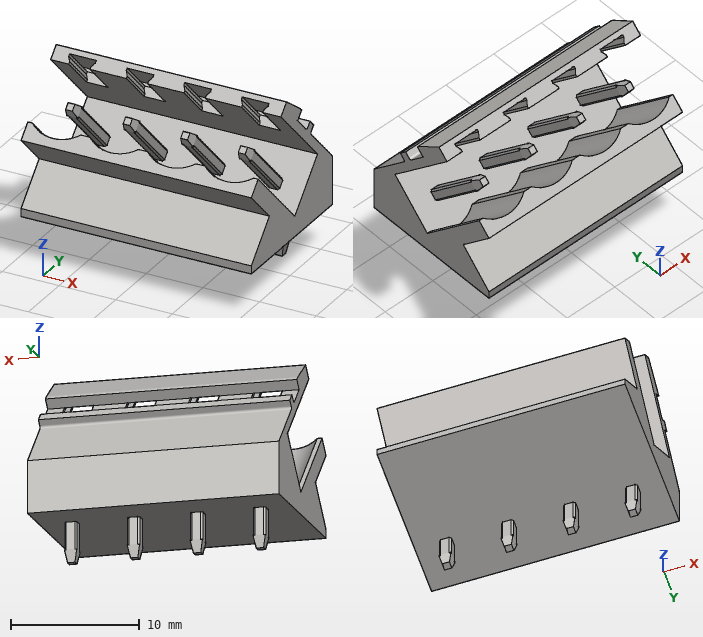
import cadquery as cq
import math


pole_count = 4
pitch = 5.08
row_length = pole_count * pitch
row_start = -pitch / 2

depth = 13.3
back_y = 3.79
front_y = back_y - depth
front_lip_height = 0.72
housing_height = 12.45

pin_width = 1.0
pin_edge_chamfer = 0.15
tip_length = 1.0
tip_end_width = 0.6
solder_length = 3.22
bend_height = 2.55
bend_to_floor = 1.167
contact_length = 7.55

slot_lower_wall = -2.22
slot_upper_wall = 3.06
arm_length = 8.48
front_slope_along = 4.29
upper_arm_thickness = 0.82
upper_arm_outer = slot_upper_wall + upper_arm_thickness

hook_start = 5.4
hook_flat_length = 0.32
hook_across = 4.8
ridge_start = 2.45
ridge_width = 0.85
ridge_height = 0.75
ridge_root_radius = 0.2

groove_start = 4.36
groove_mouth_width = 1.87
groove_floor_width = 2.35
groove_depth = upper_arm_thickness
groove_lip_depth = 0.2
groove_flank_depth = 0.4

scoop_width = 4.29
scoop_depth = 0.8
diagonal = math.sqrt(0.5)
floor_y = -bend_to_floor * diagonal
floor_z = bend_height + bend_to_floor * diagonal

lower_arm_outer = arm_length + (front_y - floor_y) / diagonal

upper_arm_end_across = (housing_height - floor_z) / diagonal - arm_length


def tilted(along, across):
    """(Y, Z) of a point given in the slot's own 45-degree directions."""
    return (
        floor_y + (across - along) * diagonal,
        floor_z + (across + along) * diagonal,
    )


def slot_plane(along, x=0):
    """Workplane square to the slot direction: local x is X, local y is "across"."""
    return cq.Workplane(cq.Plane(origin=(x, *tilted(along, 0)), xDir=(1, 0, 0), normal=(0, -1, 1)))


def make_housing_block():
    outer_face_y, outer_face_z = tilted(0, upper_arm_outer)
    back_height = outer_face_z - (back_y - outer_face_y)
    outline = [
        (back_y, 0),
        (front_y, 0),
        (front_y, front_lip_height),
        tilted(front_slope_along, lower_arm_outer),
        tilted(arm_length, lower_arm_outer),
        tilted(arm_length, slot_lower_wall),
        tilted(0, slot_lower_wall),
        tilted(0, slot_upper_wall),
        tilted(arm_length, slot_upper_wall),
        tilted(arm_length, upper_arm_end_across),
        tilted(hook_start + hook_flat_length, hook_across),
        tilted(hook_start, hook_across),
        tilted(hook_start, upper_arm_outer),
        (back_y, back_height),
    ]
    return cq.Workplane("YZ").workplane(offset=row_start).polyline(outline).close().extrude(row_length)


def make_ridge():
    """Ridge with hollow fillets at its root, standing on the upper arm."""
    ridge_end = ridge_start + ridge_width
    ridge_top = upper_arm_outer + ridge_height
    fillet_top = upper_arm_outer + ridge_root_radius
    arc_along = ridge_root_radius * (1 - diagonal)
    arc_across = upper_arm_outer + arc_along
    return (
        cq.Workplane("YZ")
        .workplane(offset=row_start)
        .moveTo(*tilted(ridge_start - ridge_root_radius, upper_arm_outer))
        .threePointArc(tilted(ridge_start - arc_along, arc_across), tilted(ridge_start, fillet_top))
        .lineTo(*tilted(ridge_start, ridge_top))
        .lineTo(*tilted(ridge_end, ridge_top))
        .lineTo(*tilted(ridge_end, fillet_top))
        .threePointArc(
            tilted(ridge_end + arc_along, arc_across),
            tilted(ridge_end + ridge_root_radius, upper_arm_outer),
        )
        .close()
        .extrude(row_length)
    )


def make_coding_groove(x):
    """Undercut groove from the arm's end; below the hook it breaks through as a window."""
    half_mouth = groove_mouth_width / 2
    half_floor = groove_floor_width / 2
    flank_start = slot_upper_wall + groove_lip_depth
    flank_end = flank_start + groove_flank_depth
    groove_floor = slot_upper_wall + groove_depth
    section = [
        (-half_mouth, slot_upper_wall),
        (half_mouth, slot_upper_wall),
        (half_mouth, flank_start),
        (half_floor, flank_end),
        (half_floor, groove_floor),
        (-half_floor, groove_floor),
        (-half_floor, flank_end),
        (-half_mouth, flank_start),
    ]
    return slot_plane(groove_start, x).polyline(section).close().extrude(arm_length - groove_start)


def make_scoop(x):
    """Shallow round channel along the whole inner face of the lower arm."""
    half_width = scoop_width / 2
    return (
        slot_plane(0, x)
        .moveTo(-half_width, slot_lower_wall)
        .threePointArc((0, slot_lower_wall - scoop_depth), (half_width, slot_lower_wall))
        .close()
        .extrude(arm_length)
    )


def pin_section(plane):
    """Square bar section with chamfered corners, as a sketch on the given workplane."""
    square = cq.Sketch().rect(pin_width, pin_width).vertices().chamfer(pin_edge_chamfer)
    return plane.placeSketch(square)


def make_tip(plane):
    """Tapered tip on the unchamfered square, so its corners stand past the bar's chamfers."""
    taper_angle = math.degrees(math.atan2((pin_width - tip_end_width) / 2, tip_length))
    return plane.rect(pin_width, pin_width).extrude(tip_length, taper=taper_angle)


def make_pin(x):
    leg_end = tip_length - solder_length
    contact_end = contact_length - tip_length
    path = cq.Workplane("YZ", origin=(x, 0, 0)).polyline(
        [(0, leg_end), (0, bend_height), tilted(contact_end, 0)]
    )
    bar = pin_section(cq.Workplane("XY", origin=(x, 0, leg_end))).sweep(path, transition="right")
    solder_tip = make_tip(cq.Workplane("XY", origin=(x, 0, leg_end)).transformed(rotate=(180, 0, 0)))
    contact_tip = make_tip(slot_plane(contact_end, x))
    return bar.union(solder_tip).union(contact_tip)


housing = make_housing_block().union(make_ridge())
pins = []
for pole in range(pole_count):
    pole_x = pole * pitch
    pin = make_pin(pole_x)
    housing = housing.cut(make_coding_groove(pole_x)).cut(make_scoop(pole_x)).cut(pin)
    pins.extend(pin.solids().vals())

result = cq.Compound.makeCompound([*housing.solids().vals(), *pins])